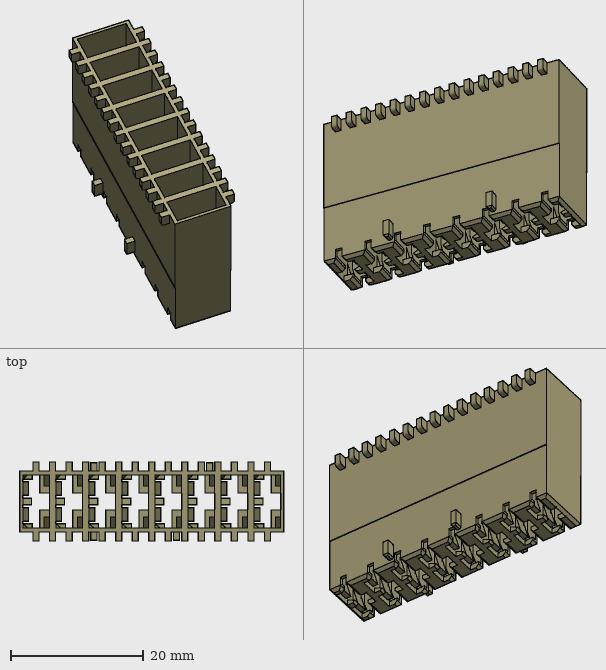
import cadquery as cq
import math

LENGTH = 40.0
HEIGHT = 25.0
UPPER_DEPTH = 9.25
LOWER_DEPTH = 9.05
STEP_HEIGHT = 10.0

CELL_COUNT = 8
CELL_PITCH = LENGTH / CELL_COUNT
CELL_LENGTH = 4.0
CELL_DEPTH = 8.0
END_WALL = (CELL_PITCH - CELL_LENGTH) / 2
FOOT_CHAMFER = END_WALL
FLOOR_TOP = 1.0
SLOT_WIDTH = 1.1
SLOT_HEIGHT = 2.0

CENTRE_OPENING_DEPTH = 2.5
BAR_DEPTH = 1.0
CORNER_PAD_EDGE = 3.35

RAMP_ANGLE = 75.0
LATCH_RUN = 0.9
LATCH_START = 0.9
LATCH_END = 3.0
GUIDE_RUN = 0.75
GUIDE_START = 2.35
BAR_DROP = 0.7
GUSSET_LENGTH = 0.7
GUSSET_DEPTH = 0.65
GUSSET_HEIGHT = 2.2

TAB_COUNT = 2 * CELL_COUNT - 1
TAB_PITCH = CELL_PITCH / 2
TAB_WIDTH = 0.95
TAB_HEIGHT = 1.95
TAB_SPAN = 12.0
TAB_FILLET = 0.5

PEG_WIDTH = 0.95
PEG_SPAN = 11.75
PEG_BOTTOM = 1.0
PEG_TOP = 3.8
PEG_CHAMFER = 0.3
FRONT_PEG_STEPS = (-3.5, 1.5)
BACK_PEG_STEPS = (-3.5, 3.5)

SIDES = (-1, 1)
CELL_CENTRES = [(i - (CELL_COUNT - 1) / 2) * CELL_PITCH for i in range(CELL_COUNT)]
RAMP_SLOPE = math.tan(math.radians(RAMP_ANGLE))


def block(x_range, y_range, z_range):
    """Box between two X, two Y and two Z places, each pair in any order."""
    ranges = [sorted(pair) for pair in (x_range, y_range, z_range)]
    sizes = [high - low for low, high in ranges]
    corner = tuple(low for low, high in ranges)
    return cq.Workplane("XY").box(*sizes, centered=False).translate(corner)


def prism_along_y(points, y_start, y_end):
    """XZ outline extruded between two Y places, given in any order."""
    low, high = sorted((y_start, y_end))
    profile = cq.Workplane("XZ", origin=(0, high, 0)).polyline(points).close()
    return profile.extrude(high - low)


def body():
    upper = cq.Workplane("XY", origin=(0, 0, STEP_HEIGHT)).box(
        LENGTH, UPPER_DEPTH, HEIGHT - STEP_HEIGHT, centered=(True, True, False)
    )
    lower = cq.Workplane("XY").box(LENGTH, LOWER_DEPTH, STEP_HEIGHT, centered=(True, True, False))
    return upper.union(lower.faces("<Z").edges().chamfer(FOOT_CHAMFER))


def foot_slot(x):
    """Slot across the underside, flared at its mouth by the foot chamfers."""
    half = SLOT_WIDTH / 2
    mouth = half + FOOT_CHAMFER
    points = [
        (x - mouth, 0),
        (x - half, FOOT_CHAMFER),
        (x - half, SLOT_HEIGHT),
        (x + half, SLOT_HEIGHT),
        (x + half, FOOT_CHAMFER),
        (x + mouth, 0),
    ]
    return prism_along_y(points, -UPPER_DEPTH / 2, UPPER_DEPTH / 2)


def cell_cut(x):
    """Cell cavity with its floor slot and the openings through its floor."""
    left = x - CELL_LENGTH / 2
    right = x + CELL_LENGTH / 2
    floor = (0, FLOOR_TOP)
    half_cell = CELL_DEPTH / 2
    half_opening = CENTRE_OPENING_DEPTH / 2
    cut = block((left, right), (-half_cell, half_cell), (FLOOR_TOP, HEIGHT))
    cut = cut.union(foot_slot(x))
    cut = cut.union(block((x, right), (-half_opening, half_opening), floor))
    for side in SIDES:
        pad_gap = (side * BAR_DEPTH / 2, side * CORNER_PAD_EDGE)
        cut = cut.union(block((left, x), pad_gap, floor))

    bar_slope = [
        (left, FLOOR_TOP),
        (x - SLOT_WIDTH / 2, FLOOR_TOP),
        (x - SLOT_WIDTH / 2, FLOOR_TOP - BAR_DROP),
    ]
    return cut.union(prism_along_y(bar_slope, -BAR_DEPTH / 2, BAR_DEPTH / 2))


def wall_ramp(wall_x, run, y_start, y_end):
    """Wedge on a cell wall, reaching out by `run` (signed along X) at floor level."""
    points = [
        (wall_x, FLOOR_TOP),
        (wall_x + run, FLOOR_TOP),
        (wall_x, FLOOR_TOP + abs(run) * RAMP_SLOPE),
    ]
    return prism_along_y(points, y_start, y_end)


def corner_gusset(x, side):
    """Three-sided pyramid in a left-hand corner of the cell at `x`."""
    left = x - CELL_LENGTH / 2
    wall_y = side * CELL_DEPTH / 2
    corner = cq.Vector(left, wall_y, FLOOR_TOP)
    along_x = corner + cq.Vector(GUSSET_LENGTH, 0, 0)
    along_y = corner - cq.Vector(0, side * GUSSET_DEPTH, 0)
    apex = corner + cq.Vector(0, 0, GUSSET_HEIGHT)
    triangles = [
        (corner, along_x, along_y),
        (corner, along_x, apex),
        (corner, along_y, apex),
        (along_x, along_y, apex),
    ]
    faces = [cq.Face.makeFromWires(cq.Wire.makePolygon(t, close=True)) for t in triangles]
    return cq.Workplane(cq.Solid.makeSolid(cq.Shell.makeShell(faces)))


def top_tab(x, side):
    outer = side * TAB_SPAN / 2
    inner = side * CELL_DEPTH / 2
    tab = block((x - TAB_WIDTH / 2, x + TAB_WIDTH / 2), (inner, outer), (HEIGHT - TAB_HEIGHT, HEIGHT))
    outer_face = ">Y" if side > 0 else "<Y"
    return tab.faces(outer_face).edges("<Z").fillet(TAB_FILLET)


def peg(x, side):
    outer = side * PEG_SPAN / 2
    inner = side * CELL_DEPTH / 2
    pin = block((x - PEG_WIDTH / 2, x + PEG_WIDTH / 2), (inner, outer), (PEG_BOTTOM, PEG_TOP))
    return pin.faces("<Z").edges().chamfer(PEG_CHAMFER)


def cell_ramps(x):
    """Latch ramps, guide ramps and corner gussets of the cell at `x`."""
    left = x - CELL_LENGTH / 2
    right = x + CELL_LENGTH / 2
    ramps = []
    for side in SIDES:
        ramps.append(wall_ramp(left, LATCH_RUN, side * LATCH_START, side * LATCH_END))
        ramps.append(wall_ramp(right, -GUIDE_RUN, side * GUIDE_START, side * CELL_DEPTH / 2))
        ramps.append(corner_gusset(x, side))
    return ramps


cuts = [cell_cut(x) for x in CELL_CENTRES]

additions = []
for cell_x in CELL_CENTRES:
    additions += cell_ramps(cell_x)
for i in range(TAB_COUNT):
    tab_x = (i - (TAB_COUNT - 1) / 2) * TAB_PITCH
    additions += [top_tab(tab_x, side) for side in SIDES]
additions += [peg(step * TAB_PITCH, -1) for step in FRONT_PEG_STEPS]
additions += [peg(step * TAB_PITCH, 1) for step in BACK_PEG_STEPS]

housing = body().val().cut(*[cut.val() for cut in cuts])
housing = housing.fuse(*[addition.val() for addition in additions]).clean()
result = cq.Workplane(housing.Solids()[0])